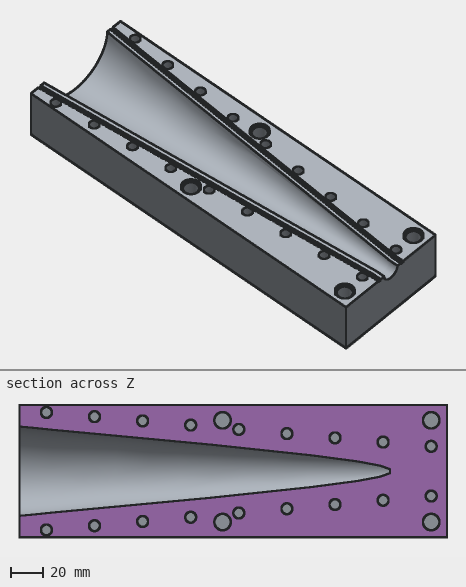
import cadquery as cq

length = 266.7
width = 82.7
height = 38.1

wide_radius = 29.0
neck_radius = 6.1
neck_length = 6.5
cone_length = length - neck_length
taper = (wide_radius - neck_radius) / cone_length

groove_gap = 3.2
groove_width = 2.1
groove_depth = 0.8

row_hole_diameter = 6.7
row_hole_depth = 10.7
row_hole_count = 9
row_hole_gap = 9.0
first_hole_x = 16.8
last_hole_x = length - 10.0
row_hole_pitch = (last_hole_x - first_hole_x) / (row_hole_count - 1)

bolt_x_positions = (126.7, last_hole_x)
bolt_y = 31.7
bolt_diameter = 10.1
bolt_depth = 16.0
counterbore_diameter = 12.5
counterbore_depth = 1.5


def channel_radius(x):
    """Radius of the conical part of the channel at a distance x from the wide end."""
    return wide_radius - taper * x


def channel():
    """Solid of revolution about the X axis that clears the channel."""
    return (
        cq.Workplane("XZ")
        .moveTo(0, 0)
        .lineTo(0, -wide_radius)
        .lineTo(cone_length, -neck_radius)
        .lineTo(length, -neck_radius)
        .lineTo(length, 0)
        .close()
        .revolve(360, (0, 0, 0), (1, 0, 0))
    )


def edge_groove(side):
    """Groove beside the channel on the +Y (side = 1) or -Y (side = -1) half."""
    inner = groove_gap
    outer = groove_gap + groove_width
    outline = [
        (0, side * (wide_radius + inner)),
        (cone_length, side * (neck_radius + inner)),
        (length, side * (neck_radius + inner)),
        (length, side * (neck_radius + outer)),
        (cone_length, side * (neck_radius + outer)),
        (0, side * (wide_radius + outer)),
    ]
    return cq.Workplane("XY").polyline(outline).close().extrude(-groove_depth)


def blind_holes(points, diameter, depth):
    """Flat-bottomed holes sunk from the top face."""
    return cq.Workplane("XY").pushPoints(points).circle(diameter / 2).extrude(-depth)


row_x_positions = [first_hole_x + i * row_hole_pitch for i in range(row_hole_count)]

result = cq.Workplane("XY").box(length, width, height, centered=(False, True, False))
result = result.translate((0, 0, -height)).cut(channel())

for side in (1, -1):
    row_points = [(x, side * (channel_radius(x) + row_hole_gap)) for x in row_x_positions]
    bolt_points = [(x, side * bolt_y) for x in bolt_x_positions]
    result = result.cut(edge_groove(side))
    result = result.cut(blind_holes(row_points, row_hole_diameter, row_hole_depth))
    result = result.cut(blind_holes(bolt_points, bolt_diameter, bolt_depth))
    result = result.cut(blind_holes(bolt_points, counterbore_diameter, counterbore_depth))